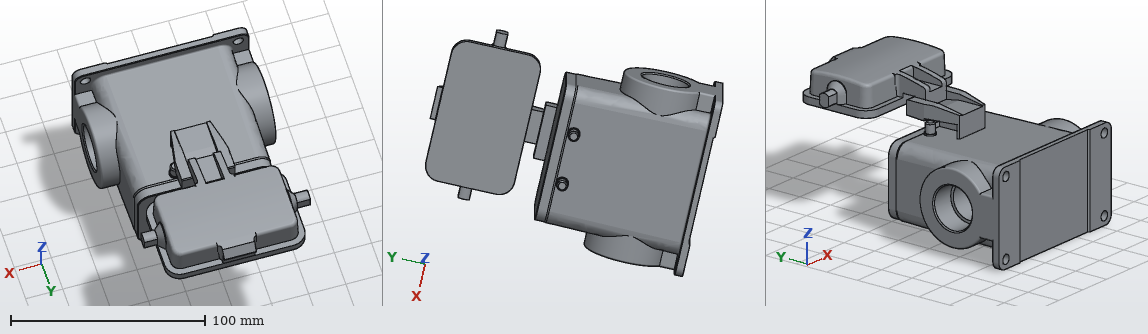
import cadquery as cq
import math


plate_width, plate_height, plate_thickness = 94.0, 56.2, 4.4
plate_corner = 4.8
plate_edge = 0.4
screw_hole_dia = 5.4
screw_spacing_x, screw_spacing_z = 82.3, 45.4
recess_half_width, recess_depth, recess_slope = 29.2, 0.9, 1.0

body_base_width, body_base_height = 75.5, 45.5
body_end_width, body_end_height = 73.7, 43.7
body_corner = 7.7
body_end_y = 74.3
lip_width, lip_height, lip_corner = 73.2, 42.8, 7.2
lip_start_y, lip_end_y = 75.2, 80.5
lip_edge = 0.4
root_fillet = 0.9

entry_y, entry_radius = 30.2, 21.8
entry_rounding = 1.1
neck_height = 24.7
bore_radius, bore_depth, bore_chamfer = 12.3, 14.2, 0.7
passage_radius = 10.6

pin_x, pin_y = 13.3, 71.0
pin_radius, collar_radius = 2.7, 3.3
pin_tip_z, pin_tip_chamfer = 28.6, 0.7
collar_z = 22.7

clip_half_width, clip_front_half_width = 14.3, 10.6
clip_back_y, clip_bend_y, clip_slope_y, clip_front_y = 86.0, 74.3, 68.9, 54.0
clip_back_chamfer = 0.5
clip_top_z, clip_front_z = 37.7, 35.0
clip_bottom_z, clip_back_bottom_z, clip_bend_bottom_z = 29.8, 29.2, 28.5
clip_wall = 1.4
channel_floor_z, channel_end_y, channel_end_z = 34.5, 77.2, 33.0
channel_back_y = 80.8
clip_foot_z = 20.5
leg_half_width, leg_front_y, leg_flare_half_width = 1.4, 60.7, 9.9

cover_y = 115.9
flange_width, flange_length, flange_corner = 75.2, 46.8, 8.1
flange_bottom_z, flange_top_z = 31.3, 35.6
dome_width, dome_length, dome_corner = 68.4, 40.0, 5.0
dome_draft = 2.5
dome_rounding = 1.8
crown_z, crown_radius = 49.5, 127.6

spine_half_width = 8.7
spine_root_radius = 1.8
arm_end_y, arm_bottom_z, arm_rounding = 77.7, 38.0, 2.3
arm_foot_y, arm_foot_z = 85.1, 32.6
groove_half_width, groove_floor_z = 5.0, 41.1
catch_tip_y, catch_bottom_z, catch_tip_z = 141.8, 42.7, 43.3
catch_root_y, catch_top_y = 139.1, 138.3

peg_tip_x = 44.7
peg_half_width, peg_flare_half_width = 3.0, 6.4
peg_axis_z = 40.4
peg_bottom_z, peg_top_z = 35.3, 43.1
peg_crown = 1.3


def rounded_section(width, height, y, corner):
    """Rounded rectangle in the XZ plane at the given y."""
    sketch = cq.Sketch().rect(width, height).vertices().fillet(corner)
    return cq.Workplane("XZ", origin=(0, y, 0)).placeSketch(sketch)


def rounded_loft(start, end, start_y, end_y):
    """Loft along Y between two rounded rectangles, each given as (width, height, corner)."""
    *start_size, start_corner = start
    *end_size, end_corner = end
    first = cq.Sketch().rect(*start_size).vertices().fillet(start_corner)
    last = cq.Sketch().rect(*end_size).vertices().fillet(end_corner)
    last = last.moved(cq.Location(cq.Vector(0, 0, start_y - end_y)))
    return cq.Workplane("XZ", origin=(0, start_y, 0)).placeSketch(first, last).loft(ruled=True)


def both_sides(half):
    """Add the mirror image across X = 0."""
    return half.union(half.mirror("YZ"))


def extruded_profile(points, half_width):
    """Straight-sided (y, z) outline, extruded symmetrically along X."""
    return cq.Workplane("YZ").polyline(points).close().extrude(half_width, both=True)


def crown_height(y):
    """Height of the arched top of the cover."""
    return crown_z - crown_radius + math.sqrt(crown_radius**2 - (y - cover_y) ** 2)


def make_plate():
    plate = rounded_section(plate_width, plate_height, 0, plate_corner).extrude(-plate_thickness)
    plate = plate.faces(">Y").chamfer(plate_edge)
    recess_floor = recess_half_width - recess_slope
    recess = (
        cq.Workplane("XY")
        .polyline(
            [
                (-recess_half_width, 0),
                (recess_half_width, 0),
                (recess_floor, recess_depth),
                (-recess_floor, recess_depth),
            ]
        )
        .close()
        .extrude(plate_height, both=True)
    )
    return plate.cut(recess)


def make_body():
    base = (body_base_width, body_base_height, body_corner)
    end = (body_end_width, body_end_height, body_corner)
    lip = (lip_width, lip_height, lip_corner)
    body = rounded_loft(base, end, recess_depth, body_end_y)
    shoulder = rounded_loft(end, lip, body_end_y, lip_start_y)
    rim = rounded_section(lip_width, lip_height, lip_start_y, lip_corner).extrude(lip_start_y - lip_end_y)
    return body.union(shoulder).union(rim.faces(">Y").chamfer(lip_edge))


def round_body_root(housing):
    """Fillet the corner where the body rises from the plate."""
    body_root = cq.selectors.BoxSelector(
        (-body_base_width / 2, plate_thickness - plate_edge / 2, -body_base_height / 2),
        (body_base_width / 2, plate_thickness + plate_edge / 2, body_base_height / 2),
    )
    return housing.edges(body_root).fillet(root_fillet)


def make_entry():
    """Round cable entry with a neck reaching back to the plate."""
    boss = cq.Workplane("YZ").center(entry_y, 0).circle(entry_radius).extrude(plate_width / 2)
    neck = cq.Workplane("XY", origin=(0, recess_depth, 0)).box(
        plate_width / 2, entry_y - recess_depth, neck_height, centered=(False, False, True)
    )
    entry = boss.union(neck)
    rim = entry.faces(">X").edges().filter(lambda edge: edge.Center().y > plate_thickness)
    return rim.fillet(entry_rounding)


def cut_entry_bore(housing):
    passage = cq.Workplane("YZ").center(entry_y, 0).circle(passage_radius).extrude(plate_width, both=True)
    mouth_x = plate_width / 2
    mouth_radius = bore_radius + bore_chamfer
    bore = (
        cq.Workplane("XY")
        .polyline(
            [
                (mouth_x - bore_depth, entry_y),
                (mouth_x - bore_depth, entry_y + bore_radius),
                (mouth_x - bore_chamfer, entry_y + bore_radius),
                (mouth_x, entry_y + mouth_radius),
                (mouth_x, entry_y),
            ]
        )
        .close()
        .revolve(360, (0, entry_y, 0), (1, entry_y, 0))
    )
    return housing.cut(passage).cut(both_sides(bore))


def cut_screw_holes(housing):
    holes = (
        cq.Workplane("XZ")
        .rect(screw_spacing_x, screw_spacing_z, forConstruction=True)
        .vertices()
        .circle(screw_hole_dia / 2)
        .extrude(-plate_thickness)
    )
    return housing.cut(holes)


def make_pins():
    pin = cq.Workplane("XY").center(pin_x, pin_y).circle(pin_radius).extrude(pin_tip_z)
    pin = pin.faces(">Z").chamfer(pin_tip_chamfer)
    collar = cq.Workplane("XY").center(pin_x, pin_y).circle(collar_radius).extrude(collar_z)
    upper = both_sides(pin.union(collar))
    return upper.union(upper.mirror("XY"))


def make_clip():
    side = extruded_profile(
        [
            (clip_back_y, clip_back_bottom_z),
            (clip_back_y, clip_top_z - clip_back_chamfer),
            (clip_back_y - clip_back_chamfer, clip_top_z),
            (clip_slope_y, clip_top_z),
            (clip_front_y, clip_front_z),
            (clip_front_y, clip_foot_z),
            (clip_front_y + clip_wall, clip_foot_z),
            (clip_front_y + clip_wall, clip_bottom_z),
            (clip_bend_y, clip_bottom_z),
            (clip_bend_y, clip_bend_bottom_z),
        ],
        clip_half_width,
    )
    outline = (
        cq.Workplane("XY")
        .polyline(
            [
                (-clip_half_width, clip_back_y),
                (-clip_half_width, clip_bend_y),
                (-clip_front_half_width, clip_front_y),
                (clip_front_half_width, clip_front_y),
                (clip_half_width, clip_bend_y),
                (clip_half_width, clip_back_y),
            ]
        )
        .close()
        .extrude(crown_z)
    )
    channel = extruded_profile(
        [
            (clip_front_y, channel_floor_z),
            (clip_slope_y, channel_floor_z),
            (channel_end_y, channel_end_z),
            (channel_back_y, channel_end_z),
            (channel_back_y, crown_z),
            (clip_front_y, crown_z),
        ],
        spine_half_width,
    )
    leg = (
        cq.Workplane("XY", origin=(0, 0, clip_foot_z))
        .polyline(
            [
                (-leg_half_width, clip_bend_y),
                (-leg_half_width, leg_front_y),
                (-leg_flare_half_width, clip_front_y + clip_wall),
                (leg_flare_half_width, clip_front_y + clip_wall),
                (leg_half_width, leg_front_y),
                (leg_half_width, clip_bend_y),
            ]
        )
        .close()
        .extrude(channel_end_z - clip_foot_z)
    )
    return side.intersect(outline).cut(channel).union(leg)


def crown_cutter():
    """Everything above the arched top of the cover."""
    near_y, far_y = cover_y - flange_length, cover_y + flange_length
    top_z = crown_z + dome_rounding
    return (
        cq.Workplane("YZ")
        .moveTo(near_y, crown_height(near_y))
        .threePointArc((cover_y, crown_z), (far_y, crown_height(far_y)))
        .lineTo(far_y, top_z)
        .lineTo(near_y, top_z)
        .close()
        .extrude(flange_width, both=True)
    )


def make_cover():
    flange = (
        cq.Workplane("XY", origin=(0, cover_y, flange_bottom_z))
        .rect(flange_width, flange_length)
        .extrude(flange_top_z - flange_bottom_z)
        .edges("|Z")
        .fillet(flange_corner)
    )
    dome_outline = cq.Sketch().rect(dome_width, dome_length).vertices().fillet(dome_corner)
    dome = (
        cq.Workplane("XY", origin=(0, cover_y, flange_top_z))
        .placeSketch(dome_outline)
        .extrude(crown_z - flange_top_z + dome_rounding, taper=dome_draft)
        .cut(crown_cutter())
        .faces(">Z")
        .edges()
        .fillet(dome_rounding)
    )
    return flange.union(dome)


def spine_side():
    """Side outline of the catch, the arched top and the hinge arm, extruded across the cover."""
    arm_top_y = arm_end_y + arm_rounding
    arm_top_z = crown_height(arm_top_y)
    corner_reach = arm_rounding * math.sqrt(0.5)
    corner_z = arm_top_z - arm_rounding
    return (
        cq.Workplane("YZ")
        .moveTo(arm_end_y, arm_foot_z)
        .lineTo(arm_end_y, corner_z)
        .threePointArc((arm_top_y - corner_reach, corner_z + corner_reach), (arm_top_y, arm_top_z))
        .threePointArc((cover_y, crown_z), (catch_top_y, crown_height(catch_top_y)))
        .lineTo(catch_tip_y, catch_tip_z)
        .lineTo(catch_tip_y, catch_bottom_z)
        .lineTo(catch_root_y, catch_bottom_z)
        .lineTo(catch_root_y, flange_bottom_z)
        .lineTo(cover_y - flange_length / 2, flange_bottom_z)
        .lineTo(cover_y - flange_length / 2, arm_bottom_z)
        .lineTo(arm_foot_y, arm_bottom_z)
        .lineTo(arm_foot_y, arm_foot_z)
        .close()
        .extrude(flange_width, both=True)
    )


def spine_root(side):
    """Plan of half the spine, flaring into the dome wall: side is 1 for the catch, -1 for the arm."""
    wall = dome_length / 2 - (crown_z - flange_top_z) / 2 * math.tan(math.radians(dome_draft))
    wall_y = cover_y + side * wall
    flare_y = wall_y + side * spine_root_radius
    flare_x = spine_half_width + spine_root_radius
    inset = spine_root_radius * (1 - math.sqrt(0.5))
    end_y = catch_tip_y if side > 0 else arm_end_y
    return (
        cq.Workplane("XY")
        .moveTo(0, cover_y)
        .lineTo(0, end_y)
        .lineTo(spine_half_width, end_y)
        .lineTo(spine_half_width, flare_y)
        .threePointArc((spine_half_width + inset, wall_y + side * inset), (flare_x, wall_y))
        .lineTo(flare_x, wall_y - side * dome_rounding)
        .lineTo(spine_half_width, wall_y - side * 2 * dome_rounding)
        .lineTo(spine_half_width, cover_y)
        .close()
        .extrude(crown_z)
    )


def make_spine():
    plan = both_sides(spine_root(1).union(spine_root(-1)))
    groove_length = cover_y - dome_length / 2 - arm_end_y + dome_rounding
    groove = cq.Workplane("XY", origin=(0, arm_end_y, groove_floor_z)).box(
        2 * groove_half_width, groove_length, crown_z - groove_floor_z, centered=(True, False, False)
    )
    return spine_side().intersect(plan).cut(groove)


def peg_outline(x, half_width):
    """Arch standing on the flange, drawn in the YZ plane at the given x."""
    return (
        cq.Workplane("YZ", origin=(x, cover_y, 0))
        .moveTo(-half_width, flange_top_z)
        .lineTo(-half_width, peg_axis_z)
        .threePointArc((0, peg_axis_z + half_width), (half_width, peg_axis_z))
        .lineTo(half_width, flange_top_z)
        .close()
    )


def make_pegs():
    wall_x, edge_x = dome_width / 2, flange_width / 2
    inner_x = wall_x - dome_rounding
    root = peg_outline(inner_x, peg_flare_half_width).extrude(wall_x - inner_x)
    flare = cq.Solid.makeLoft(
        [
            peg_outline(wall_x, peg_flare_half_width).wire().val(),
            peg_outline(edge_x, peg_half_width).wire().val(),
        ],
        True,
    )
    peg = (
        cq.Workplane("YZ", origin=(edge_x, cover_y, 0))
        .moveTo(-peg_half_width, peg_bottom_z + peg_crown)
        .lineTo(-peg_half_width, peg_top_z - peg_crown)
        .threePointArc((0, peg_top_z), (peg_half_width, peg_top_z - peg_crown))
        .lineTo(peg_half_width, peg_bottom_z + peg_crown)
        .threePointArc((0, peg_bottom_z), (-peg_half_width, peg_bottom_z + peg_crown))
        .close()
        .extrude(peg_tip_x - edge_x)
    )
    return both_sides(root.union(cq.Workplane(flare)).union(peg))


housing = make_plate().union(make_body())
housing = round_body_root(housing).union(both_sides(make_entry()))
housing = cut_screw_holes(cut_entry_bore(housing))
cover = make_cover().union(make_spine()).union(make_pegs())
result = housing.union(make_pins()).union(make_clip()).union(cover)